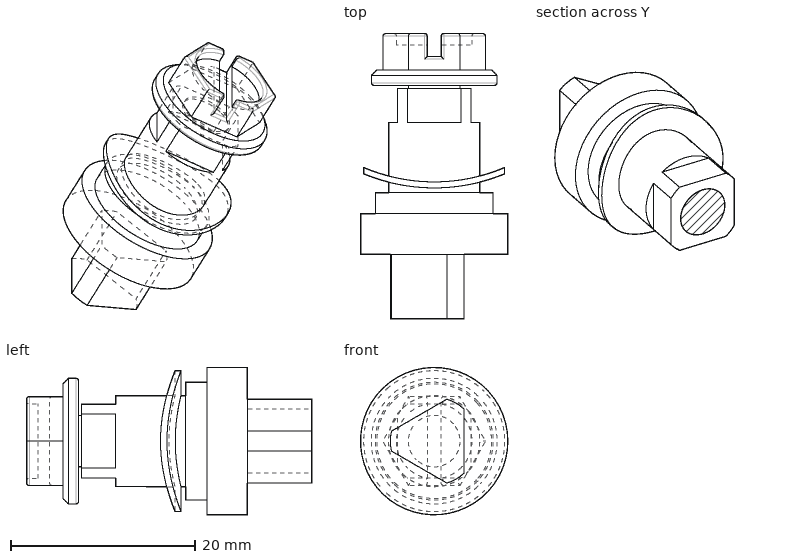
import cadquery as cq
import math


key_length = 7.0
flange_length = 4.4
collar_length = 2.3
barrel_length = 7.6
square_length = 3.7
neck_length = 0.3
screw_flange_length = 1.7
hex_length = 3.95

key_flat_distance = 3.25
key_corner_radius = 4.75

flange_diameter = 16.0
collar_diameter = 12.8
barrel_diameter = 9.9
square_width = 8.0

washer_diameter = 15.3
washer_thickness = 0.65
washer_bend_radius = 20.0
washer_clearance = 0.5

neck_diameter = 5.6
screw_flange_diameter = 13.65
screw_flange_top_chamfer = 0.6
screw_flange_bottom_radius = 0.3
hex_across_flats = 9.65
head_edge_radius = 0.3
recess_diameter = 8.2
recess_depth = 1.25
slot_width = 1.5
slot_depth = 2.5

flange_start = key_length
collar_start = flange_start + flange_length
barrel_start = collar_start + collar_length
square_start = barrel_start + barrel_length
neck_start = square_start + square_length
screw_flange_start = neck_start + neck_length
hex_start = screw_flange_start + screw_flange_length
screw_end = hex_start + hex_length


def section_at(y):
    """Workplane across the axis, with local X along X, local Y along -Z and extrusion towards +Y."""
    return cq.Workplane(cq.Plane(origin=(0, y, 0), xDir=(1, 0, 0), normal=(0, 1, 0)))


def cylinder(y, diameter, length):
    return section_at(y).circle(diameter / 2).extrude(length)


def triangular_key():
    """Round bar with three flats, one of them facing +X."""
    key = cylinder(0, 2 * key_corner_radius, key_length)
    triangle_circumdiameter = 4 * key_flat_distance
    triangle = (
        section_at(0)
        .transformed(rotate=(0, 0, 180))
        .polygon(3, triangle_circumdiameter)
        .extrude(key_length)
    )
    return key.intersect(triangle)


def square_shank():
    """Square whose corners are rounded to the barrel diameter."""
    square = section_at(square_start).rect(square_width, square_width).extrude(square_length)
    return square.intersect(cylinder(square_start, barrel_diameter, square_length))


def spring_washer():
    """Disc bent about an axis parallel to Z, with its convex side towards the collar."""
    bottom = barrel_start + washer_clearance
    bend_center = bottom + washer_bend_radius
    shell = (
        cq.Workplane("XY")
        .center(0, bend_center)
        .circle(washer_bend_radius)
        .circle(washer_bend_radius - washer_thickness)
        .extrude(washer_diameter / 2, both=True)
    )
    return shell.intersect(cylinder(bottom, washer_diameter, washer_bend_radius))


def screw_flange():
    disc = cylinder(screw_flange_start, screw_flange_diameter, screw_flange_length)
    disc = disc.faces(">Y").chamfer(screw_flange_top_chamfer)
    return disc.faces("<Y").fillet(screw_flange_bottom_radius)


def slotted_hex_head():
    """Hexagon with corners on X, a round recess in its end and a deeper slot along Z."""
    across_corners = hex_across_flats / math.cos(math.pi / 6)
    head = section_at(hex_start).polygon(6, across_corners).extrude(hex_length)
    head = head.cut(cylinder(screw_end - recess_depth, recess_diameter, recess_depth))
    slot = (
        section_at(screw_end - slot_depth)
        .rect(slot_width, across_corners)
        .extrude(slot_depth)
    )
    head = head.cut(slot)

    mouth_reach = slot_width / 2 + head_edge_radius
    slot_mouths = head.faces("<Z or >Z").edges().filter(
        lambda edge: abs(edge.Center().x) < mouth_reach
        and edge.Center().y > hex_start + head_edge_radius
    )
    end_edges = head.faces(">Y").edges()
    return head.newObject(slot_mouths.vals() + end_edges.vals()).fillet(head_edge_radius)


result = (
    triangular_key()
    .union(cylinder(flange_start, flange_diameter, flange_length))
    .union(cylinder(collar_start, collar_diameter, collar_length))
    .union(cylinder(barrel_start, barrel_diameter, barrel_length))
    .union(spring_washer())
    .union(square_shank())
    .union(cylinder(neck_start, neck_diameter, neck_length))
    .union(screw_flange())
    .union(slotted_hex_head())
)